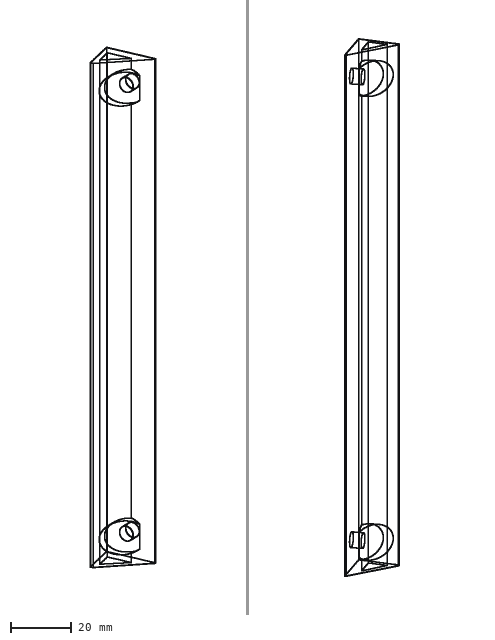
import cadquery as cq

length = 180.0
width = 19.0
depth = 14.4

front_tip_left = 2.5
front_tip_right = 3.6
side_tip_thickness = 0.5

back_wall = 4.0
cavity_left = 2.7
cavity_right = 12.0
cavity_tip_x = 4.0
cavity_tip_depth = 10.6

hole_diameter = 5.2
hole_x = 10.0
hole_end_distance = 9.9
recess_diameter = 12.0
recess_x = 11.2


def tube():
    """Extrude the outer triangle and remove the cavity along its full length."""
    outline = [
        (0, 0),
        (width, 0),
        (width, -side_tip_thickness),
        (front_tip_right, -depth),
        (front_tip_left, -depth),
    ]
    cavity = [
        (cavity_left, -back_wall),
        (cavity_right, -back_wall),
        (cavity_tip_x, -cavity_tip_depth),
    ]
    body = cq.Workplane("XY").polyline(outline).close().extrude(length)
    return body.cut(cq.Workplane("XY").polyline(cavity).close().extrude(length))


def front_cylinder(x, z, diameter, floor_depth):
    """Cylinder along Y from the front of the part to floor_depth below the back."""
    return (
        cq.Workplane("XZ", origin=(x, -floor_depth, z))
        .circle(diameter / 2)
        .extrude(depth - floor_depth)
    )


result = tube()
for z in (hole_end_distance, length - hole_end_distance):
    result = result.cut(front_cylinder(recess_x, z, recess_diameter, back_wall))
    result = result.cut(front_cylinder(hole_x, z, hole_diameter, 0))